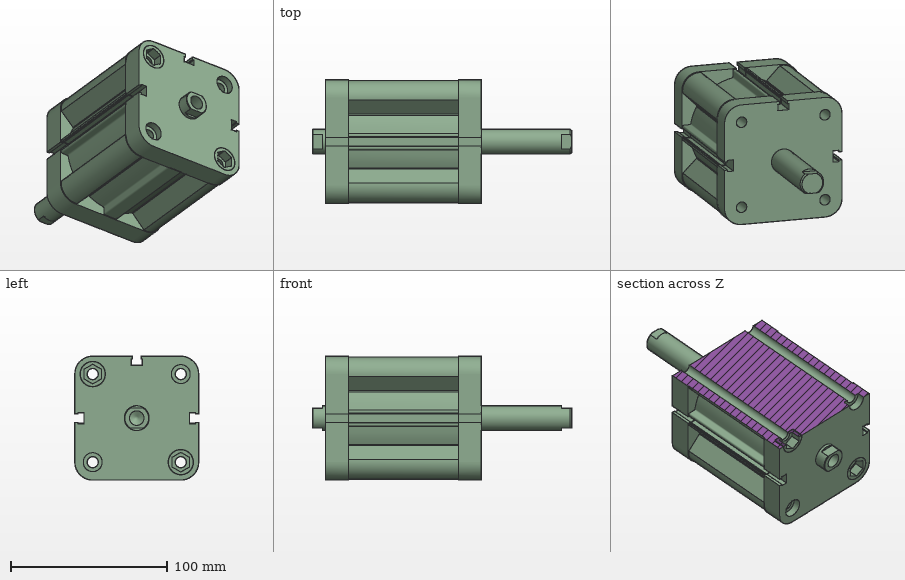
import cadquery as cq
import math


housing_length = 100.0
cap_length = 14.8
cap_width = 79.5
cap_half_width = cap_width / 2
bolt_offset = 28.2
cap_corner_radius = cap_half_width - bolt_offset
tube_length = housing_length - 2 * cap_length
tube_half_width = 39.2
boss_radius = tube_half_width - bolt_offset
barrel_radius = 34.2

pocket_mouth = 26.5
pocket_floor_outer = 17.6
pocket_floor_inner = 16.8
pocket_floor_height = math.sqrt(barrel_radius**2 - pocket_floor_inner**2)
pocket_mouth_height = bolt_offset + math.sqrt(boss_radius**2 - (pocket_mouth - bolt_offset) ** 2)

rail_width = 10.5
rail_half_width = rail_width / 2
rail_round = 1.0
rail_top_half_width = rail_half_width - rail_round
crest_centre_height = tube_half_width - rail_round
blend_centre_width = rail_half_width + rail_round
blend_centre_height = math.sqrt((barrel_radius + rail_round) ** 2 - blend_centre_width**2)
diagonal_reach = rail_round * math.sqrt(0.5)

slot_mouth_width = 5.5
slot_lip_depth = 2.0
slot_lip_height = cap_half_width - slot_lip_depth
cap_slot_width = 7.5
cap_slot_depth = 6.0
cap_slot_floor = cap_half_width - cap_slot_depth
tube_slot_width = 6.5
tube_slot_floor_rise = 0.2
tube_slot_floor = cap_slot_floor + tube_slot_floor_rise
tube_slot_bevel = 0.5
slot_turns = (0, 90, -90)

bolt_hole_radius = 3.5
counterbore_diameter = 12.1
counterbore_radius = counterbore_diameter / 2
counterbore_depth = 5.0
screw_radius = 8.0
screw_clearance = 0.2
screw_length = 8.3
hex_across_flats = 11.0
hex_depth = 6.6
screw_places = [(bolt_offset, bolt_offset), (-bolt_offset, -bolt_offset)]
counterbore_places = [(-bolt_offset, bolt_offset), (bolt_offset, -bolt_offset)]

rod_radius = 8.0
rod_length = 166.0
rod_rear_overhang = 8.1
rod_front_end = rod_length - rod_rear_overhang
rod_front_chamfer = 1.0
rod_rear_chamfer = 0.3
rod_flat_half_height = 6.5
rear_flat_length = 6.1
front_flat_length = 6.5
rod_hole_radius = 4.6
rod_hole_depth = 10.0
drill_tip_angle = 118.0


def section(x):
    """Workplane across the axis at x, with local x along +Y and local y along +Z."""
    return cq.Workplane("YZ", origin=(x, 0, 0))


def cylinder(x, length, radius, places=((0, 0),)):
    return section(x).pushPoints(list(places)).circle(radius).extrude(length)


def cap(x):
    return section(x).rect(cap_width, cap_width).extrude(cap_length).edges("|X").fillet(cap_corner_radius)


def tube_octant():
    """Eighth of the tube, from the diagonal through a corner boss to the middle of a rail."""
    to_barrel = barrel_radius / (barrel_radius + rail_round)
    blend_start = (blend_centre_width * to_barrel, blend_centre_height * to_barrel)
    barrel_middle_width = (blend_start[0] + pocket_floor_inner) / 2
    barrel_middle_height = math.sqrt(barrel_radius**2 - barrel_middle_width**2)
    boss_reach = bolt_offset + boss_radius * math.sqrt(0.5)
    pocket_edge_angle = math.atan2(pocket_mouth_height - bolt_offset, pocket_mouth - bolt_offset)
    boss_middle_angle = (math.radians(45) + pocket_edge_angle) / 2
    boss_middle = (
        bolt_offset + boss_radius * math.cos(boss_middle_angle),
        bolt_offset + boss_radius * math.sin(boss_middle_angle),
    )
    return (
        section(cap_length)
        .lineTo(boss_reach, boss_reach)
        .threePointArc(boss_middle, (pocket_mouth, pocket_mouth_height))
        .lineTo(pocket_floor_outer, pocket_floor_height)
        .lineTo(pocket_floor_inner, pocket_floor_height)
        .threePointArc((barrel_middle_width, barrel_middle_height), blend_start)
        .threePointArc(
            (blend_centre_width - diagonal_reach, blend_centre_height - diagonal_reach),
            (rail_half_width, blend_centre_height),
        )
        .lineTo(rail_half_width, crest_centre_height)
        .threePointArc(
            (rail_top_half_width + diagonal_reach, crest_centre_height + diagonal_reach),
            (rail_top_half_width, tube_half_width),
        )
        .lineTo(0, tube_half_width)
        .close()
        .extrude(tube_length)
    )


def tube():
    octant = tube_octant()
    side = octant.union(octant.mirror("XZ"))
    body = side
    for turn in (90, 180, 270):
        body = body.union(side.rotate((0, 0, 0), (1, 0, 0), turn))
    return body.clean()


def t_slot(x, length, width, floor):
    """Undercut slot with a narrow mouth, cut down from the top face."""
    undercut = (
        section(x)
        .center(0, (slot_lip_height + floor) / 2)
        .rect(width, slot_lip_height - floor)
        .extrude(length)
    )
    mouth = (
        section(x)
        .center(0, slot_lip_height + slot_lip_depth / 2)
        .rect(slot_mouth_width, slot_lip_depth)
        .extrude(length)
    )
    return undercut.union(mouth)


def tube_slot_mouth_bevel():
    """Wedge that bevels both edges of the slot mouth along the tube."""
    inner_half_width = slot_mouth_width / 2
    outer_half_width = inner_half_width + tube_slot_bevel
    return (
        section(cap_length)
        .polyline(
            [
                (-outer_half_width, tube_half_width),
                (outer_half_width, tube_half_width),
                (inner_half_width, tube_half_width - tube_slot_bevel),
                (-inner_half_width, tube_half_width - tube_slot_bevel),
            ]
        )
        .close()
        .extrude(tube_length)
    )


def make_housing():
    front_cap_x = cap_length + tube_length
    body = cap(0).union(tube()).union(cap(front_cap_x))

    slots = (
        t_slot(0, cap_length, cap_slot_width, cap_slot_floor)
        .union(t_slot(front_cap_x, cap_length, cap_slot_width, cap_slot_floor))
        .union(t_slot(cap_length, tube_length, tube_slot_width, tube_slot_floor))
        .union(tube_slot_mouth_bevel())
    )
    for turn in slot_turns:
        body = body.cut(slots.rotate((0, 0, 0), (1, 0, 0), turn))

    body = body.cut(cylinder(0, housing_length, bolt_hole_radius, screw_places + counterbore_places))
    body = body.cut(cylinder(0, counterbore_depth, counterbore_radius, counterbore_places))
    body = body.cut(cylinder(0, screw_length, screw_radius + screw_clearance, screw_places))
    return body.cut(cylinder(0, housing_length, rod_radius))


def make_screw(place):
    """Hollow screw with a hex socket, flush with the rear cap face."""
    hex_across_corners = hex_across_flats / math.cos(math.radians(30))
    socket = section(0).polygon(6, hex_across_corners).extrude(hex_depth)
    socket = socket.rotate((0, 0, 0), (1, 0, 0), 90).translate((0, *place))
    body = cylinder(0, screw_length, screw_radius, [place])
    return body.cut(socket).cut(cylinder(0, screw_length, bolt_hole_radius, [place]))


def rod_flats(x, length):
    """Pair of blocks that trim the rod to two parallel flats, above and below the axis."""
    block_height = rod_radius
    offset = rod_flat_half_height + block_height / 2
    return (
        section(x)
        .pushPoints([(0, offset), (0, -offset)])
        .rect(2 * rod_radius, block_height)
        .extrude(length)
    )


def make_rod():
    body = cylinder(-rod_rear_overhang, rod_length, rod_radius).faces(">X").chamfer(rod_front_chamfer)
    body = body.faces("<X").chamfer(rod_rear_chamfer)
    body = body.cut(rod_flats(-rod_rear_overhang, rear_flat_length))
    body = body.cut(rod_flats(rod_front_end - front_flat_length, front_flat_length))

    tip_length = rod_hole_radius / math.tan(math.radians(drill_tip_angle / 2))
    hole = (
        cq.Workplane("XY", origin=(-rod_rear_overhang, 0, 0))
        .polyline(
            [
                (0, 0),
                (0, rod_hole_radius),
                (rod_hole_depth, rod_hole_radius),
                (rod_hole_depth + tip_length, 0),
            ]
        )
        .close()
        .revolve(360, (0, 0, 0), (1, 0, 0))
    )
    return body.cut(hole)


housing = make_housing()
rod = make_rod()
screws = [make_screw(place) for place in screw_places]

result = cq.Compound.makeCompound([housing.val(), rod.val(), *[screw.val() for screw in screws]])